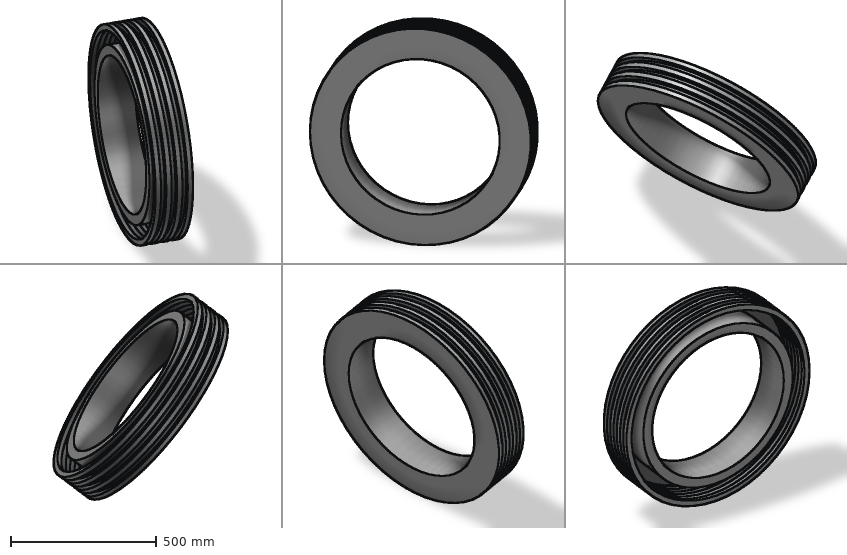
import cadquery as cq

outer_diameter = 773.0
groove_diameter = 734.0
recess_outer_diameter = 730.0
recess_inner_diameter = 630.0
bore_diameter = 555.0

width = 135.0
groove_count = 3
recess_depth = 121.0

band_width = width / (2 * groove_count + 1)


def ring(large_diameter, small_diameter, length, start):
    """Ring around the Y axis, running from start toward +Y."""
    return (
        cq.Workplane("XZ", origin=(0, start, 0))
        .circle(large_diameter / 2)
        .circle(small_diameter / 2)
        .extrude(-length)
    )


front_face = -width / 2
result = ring(outer_diameter, bore_diameter, width, front_face)

for index in range(groove_count):
    groove_start = front_face + (2 * index + 1) * band_width
    result = result.cut(ring(outer_diameter, groove_diameter, band_width, groove_start))

result = result.cut(ring(recess_outer_diameter, recess_inner_diameter, recess_depth, front_face))